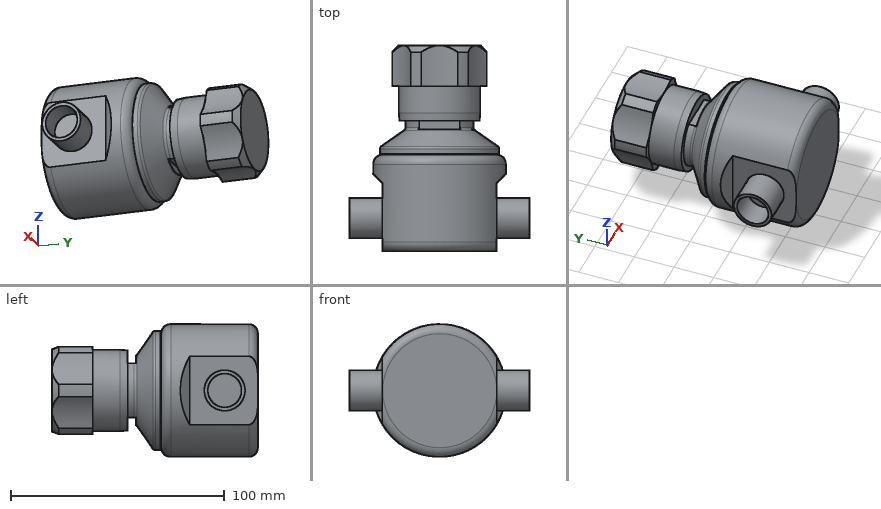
import cadquery as cq
import math


body_radius = 31.115
body_length = 45.3
body_round = 4.445
port_offset = 15.6
flat_distance = body_radius - body_round
flat_length = 31.9
run_out = body_radius - flat_distance

tube_outer_diameter = 19.05
tube_wall = 1.65
tube_reach = 42.215
bore_depth = 12.7

groove_radius = flat_distance
groove_width = 0.4
bonnet_radius = 27.94
bonnet_rim_end = 48.8
bonnet_edge_round = 1.52
neck_radius = 15.95
neck_cone_end = 57.15
neck_round = 1.7
neck_flat_distance = 12.75
neck_flat_start = 57.1

collar_start = 61.05
collar_taper_end = 64.8
collar_small_radius = 18.8
collar_radius = 19.15
nut_start = 77.4
nut_end = 96.39
nut_radius = 22.2
nut_chamfer_length = 3.15
nut_top_radius = 19.25
nut_sides = 6
scallop_distance = 19.3
scallop_edge_angle = math.radians(22.6)


def revolve_profile(profile):
    """Turn a closed (radius, Y) profile a full turn about the Y axis."""
    return profile.close().revolve(360, (0, 0, 0), (0, 1, 0))


def disc(radius, start, end):
    """Cylinder on the Y axis between two stations."""
    return revolve_profile(
        cq.Workplane("XY").moveTo(0, start).lineTo(radius, start).lineTo(radius, end).lineTo(0, end)
    )


def make_body():
    body = disc(body_radius, 0, body_length).edges("%CIRCLE").fillet(body_round)
    for side in (-1, 1):
        side_cut = (
            cq.Workplane("XY")
            .moveTo(side * flat_distance, -run_out)
            .lineTo(side * flat_distance, flat_length)
            .lineTo(side * (flat_distance + 2 * run_out), flat_length + 2 * run_out)
            .lineTo(side * (flat_distance + 2 * run_out), -run_out)
            .close()
            .extrude(body_radius, both=True)
        )
        body = body.cut(side_cut)
    return body


def tangent_points(start, corner, end, radius):
    """Start, middle and end of the arc that rounds a corner of an outline."""
    def unit(point):
        dx = point[0] - corner[0]
        dy = point[1] - corner[1]
        length = math.hypot(dx, dy)
        return dx / length, dy / length

    to_start = unit(start)
    to_end = unit(end)
    half_angle = math.acos(to_start[0] * to_end[0] + to_start[1] * to_end[1]) / 2
    setback = radius / math.tan(half_angle)
    bisector = (to_start[0] + to_end[0], to_start[1] + to_end[1])
    bisector_length = math.hypot(*bisector)
    middle_distance = radius / math.sin(half_angle) - radius
    return (
        (corner[0] + setback * to_start[0], corner[1] + setback * to_start[1]),
        (
            corner[0] + middle_distance * bisector[0] / bisector_length,
            corner[1] + middle_distance * bisector[1] / bisector_length,
        ),
        (corner[0] + setback * to_end[0], corner[1] + setback * to_end[1]),
    )


def make_bonnet():
    rim_start = (bonnet_radius, body_length + groove_width)
    rim_corner = (bonnet_radius, bonnet_rim_end)
    neck_corner = (neck_radius, neck_cone_end)
    neck_end = (neck_radius, collar_start)
    rim_arc = tangent_points(rim_start, rim_corner, neck_corner, bonnet_edge_round)
    neck_arc = tangent_points(rim_corner, neck_corner, neck_end, neck_round)
    bonnet = revolve_profile(
        cq.Workplane("XY")
        .moveTo(0, body_length)
        .lineTo(groove_radius, body_length)
        .lineTo(groove_radius, body_length + groove_width)
        .lineTo(*rim_start)
        .lineTo(*rim_arc[0])
        .threePointArc(*rim_arc[1:])
        .lineTo(*neck_arc[0])
        .threePointArc(*neck_arc[1:])
        .lineTo(*neck_end)
        .lineTo(0, collar_start)
    )
    flat_height = collar_start - neck_flat_start
    for side in (-1, 1):
        flat_cut = cq.Workplane("XY").box(2 * bonnet_radius, flat_height, bonnet_radius).translate(
            (0, neck_flat_start + flat_height / 2, side * (neck_flat_distance + bonnet_radius / 2))
        )
        bonnet = bonnet.cut(flat_cut)
    return bonnet


def make_collar():
    return revolve_profile(
        cq.Workplane("XY")
        .moveTo(0, collar_start)
        .lineTo(collar_small_radius, collar_start)
        .lineTo(collar_radius, collar_taper_end)
        .lineTo(collar_radius, nut_start)
        .lineTo(0, nut_start)
    )


def make_nut():
    nut = revolve_profile(
        cq.Workplane("XY")
        .moveTo(0, nut_start)
        .lineTo(nut_radius, nut_start)
        .lineTo(nut_radius, nut_end - nut_chamfer_length)
        .lineTo(nut_top_radius, nut_end)
        .lineTo(0, nut_end)
    )
    half_chord = nut_radius * math.sin(scallop_edge_angle)
    sagitta = nut_radius * math.cos(scallop_edge_angle) - scallop_distance
    scallop_radius = (half_chord**2 + sagitta**2) / (2 * sagitta)
    scallop = disc(scallop_radius, nut_start, nut_end).translate(
        (0, 0, scallop_distance + scallop_radius)
    )
    for index in range(nut_sides):
        nut = nut.cut(scallop.rotate((0, 0, 0), (0, 1, 0), index * 360 / nut_sides))
    return nut


def make_tube(side):
    """Tube port with a blind bore; side is -1 or +1 along X."""
    bore_radius = tube_outer_diameter / 2 - tube_wall
    tube_end = cq.Workplane("YZ", origin=(side * tube_reach, port_offset, 0))
    tube = tube_end.circle(tube_outer_diameter / 2).extrude(-side * tube_reach)
    bore = tube_end.circle(bore_radius).extrude(-side * bore_depth)
    return tube.cut(bore)


valve = make_body().union(make_bonnet()).union(make_collar()).union(make_nut())
for port_side in (-1, 1):
    valve = valve.union(make_tube(port_side))

result = valve.translate((0, -port_offset, 0))